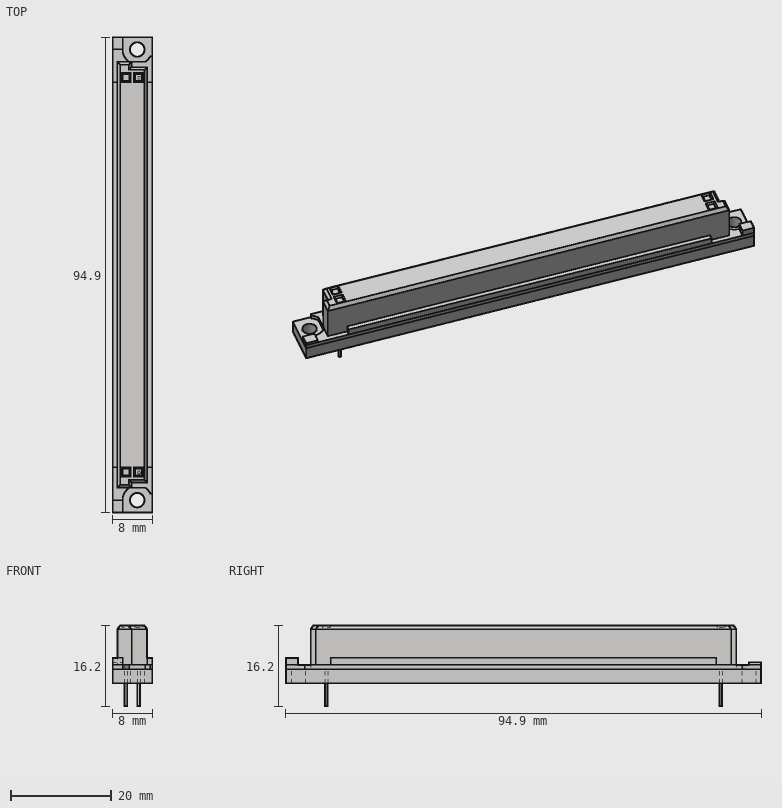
import cadquery as cq


LENGTH = 94.9
WIDTH = 8.0
BASE_HEIGHT = 2.8

HOLE_X = 4.9
HOLE_Y = 45.0
HOLE_DIAMETER = 2.8
RECESS_RADIUS = 2.9
SHOULDER_Y = 43.7

FLANGE_TOP = 3.7
RIB_TOP = 5.1
RIB_LENGTH = 76.9
FRONT_PAD_TOP = RIB_TOP
BACK_PAD_TOP = 4.3
TOWER_LEFT = 0.95
TOWER_WIDTH = 6.0
TOWER_TOP = 11.6
TOWER_LENGTH = 85.0
STEPPED_LENGTH = 82.9
STEP_X = 3.8
CHAMFER_WIDTH = 0.6
CHAMFER_HEIGHT = 0.8

ROW_SPACING = 2.6
SOCKET_Y = 39.4
FUNNEL_SIZE = 1.9
FUNNEL_FLOOR = 1.3
FUNNEL_DEPTH = 0.4
PIN_DIAMETER = 0.6
PIN_DROP = 4.6

TOWER_RIGHT = TOWER_LEFT + TOWER_WIDTH
TOWER_MIDDLE = TOWER_LEFT + TOWER_WIDTH / 2
LEFT_ROW_X = TOWER_MIDDLE - ROW_SPACING / 2
RIGHT_ROW_X = TOWER_MIDDLE + ROW_SPACING / 2
ENDS = (-1, 1)
SOCKET_POINTS = [(x, end * SOCKET_Y) for x in (LEFT_ROW_X, RIGHT_ROW_X) for end in ENDS]
PIN_POINTS = [
    (LEFT_ROW_X, SOCKET_Y),
    (RIGHT_ROW_X, SOCKET_Y),
    (RIGHT_ROW_X, -SOCKET_Y),
]


def block(x, y, z):
    """Box from three (low, high) ranges."""
    size = [high - low for low, high in (x, y, z)]
    return cq.Workplane("XY").box(*size, centered=False).translate((x[0], y[0], z[0]))


def centred(length):
    """Range of a length centred on Y = 0."""
    return (-length / 2, length / 2)


def cylinder(x, y, diameter, bottom, top):
    return cq.Workplane("XY", origin=(x, y, bottom)).circle(diameter / 2).extrude(top - bottom)


def make_base():
    base = block((0, WIDTH), centred(LENGTH), (0, BASE_HEIGHT))
    for end in ENDS:
        base = base.cut(cylinder(HOLE_X, end * HOLE_Y, HOLE_DIAMETER, 0, BASE_HEIGHT))
    for x, y in PIN_POINTS:
        base = base.cut(cylinder(x, y, PIN_DIAMETER, 0, BASE_HEIGHT))
    return base


def make_recess():
    """Cutter for the rounded clearance around the hole at the +Y end."""
    layer = (BASE_HEIGHT, FLANGE_TOP)
    recess = cylinder(HOLE_X, HOLE_Y, 2 * RECESS_RADIUS, *layer)
    recess = recess.union(block((HOLE_X - RECESS_RADIUS, WIDTH), (HOLE_Y, LENGTH / 2), layer))
    recess = recess.union(block((HOLE_X, WIDTH), (SHOULDER_Y, LENGTH / 2), layer))
    return recess.intersect(block((0, WIDTH), (TOWER_LENGTH / 2, LENGTH / 2), layer))


def make_flange():
    flange = block((0, WIDTH), centred(LENGTH), (BASE_HEIGHT, FLANGE_TOP))
    recess = make_recess()
    return flange.cut(recess).cut(recess.mirror("XZ"))


def make_pad(y, top):
    """Raised corner pad on the left side of the flange."""
    return block((0, HOLE_X - RECESS_RADIUS), y, (FLANGE_TOP, top))


def make_rib(x):
    """Rail that fills the space between the tower and one side of the flange."""
    return block(x, centred(RIB_LENGTH), (FLANGE_TOP, RIB_TOP))


def make_funnel(x, y):
    """Tapered cutter that opens towards the top of the tower."""
    return (
        cq.Workplane("XY", origin=(x, y, TOWER_TOP - FUNNEL_DEPTH))
        .rect(FUNNEL_FLOOR, FUNNEL_FLOOR)
        .workplane(offset=FUNNEL_DEPTH)
        .rect(FUNNEL_SIZE, FUNNEL_SIZE)
        .loft(ruled=True)
    )


def make_tower():
    """Stepped tower with chamfered top edges and a funnel over each socket."""
    long_end = TOWER_LENGTH / 2
    short_end = STEPPED_LENGTH / 2
    outline = [
        (TOWER_LEFT, -long_end),
        (STEP_X, -long_end),
        (STEP_X, -short_end),
        (TOWER_RIGHT, -short_end),
        (TOWER_RIGHT, short_end),
        (STEP_X, short_end),
        (STEP_X, long_end),
        (TOWER_LEFT, long_end),
    ]
    tower = cq.Workplane("XY", origin=(0, 0, FLANGE_TOP)).polyline(outline).close()
    tower = tower.extrude(TOWER_TOP - FLANGE_TOP)
    tower = tower.faces(">Z").chamfer(CHAMFER_HEIGHT, CHAMFER_WIDTH)
    for x, y in SOCKET_POINTS:
        tower = tower.cut(make_funnel(x, y))
    return tower


def make_pin(x, y):
    """Round solder pin through the base, below a socket."""
    return cylinder(x, y, PIN_DIAMETER, -PIN_DROP, BASE_HEIGHT)


base = make_base()
flange = make_flange()
tower = make_tower()
ribs = [make_rib(x).val() for x in ((0, TOWER_LEFT), (TOWER_RIGHT, WIDTH))]
pads = [
    make_pad((-LENGTH / 2, -HOLE_Y), FRONT_PAD_TOP).val(),
    make_pad((HOLE_Y, LENGTH / 2), BACK_PAD_TOP).val(),
]
pins = [make_pin(x, y).val() for x, y in PIN_POINTS]

result = cq.Compound.makeCompound(
    [*base.vals(), *flange.vals(), *tower.vals(), *ribs, *pads, *pins]
)